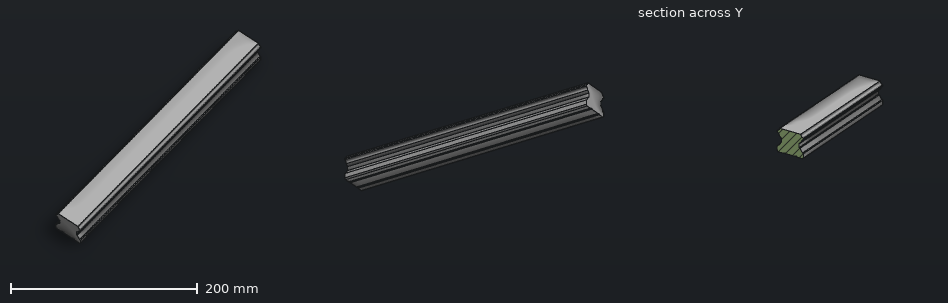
import cadquery as cq
import math

length = 310.0
width = 34.0
height = 29.0
half_width = width / 2

top_width = 27.3
lip_top = 25.0
lip_bottom = 23.5
lip_bevel_width = 1.0
lip_bevel_height = 0.5
track_sag = 0.37

upper_track_inner = (14.0, 28.2)
upper_track_outer = (half_width - lip_bevel_width, lip_top + lip_bevel_height)

lower_track_inner = (14.3, 19.8)
lower_track_outer = (half_width - lip_bevel_width, lip_bottom - lip_bevel_height)

waist_width = 23.2
waist_top = 17.5
waist_bottom = 12.7
waist_step_width = 1.0
waist_step_height = 0.5
half_waist = waist_width / 2

foot_top = 6.8
foot_ledge_width = 1.1
foot_ledge_height = 0.5
foot_chamfer = 1.5

relief_width = 17.0
relief_depth = 0.3
groove_width = 2.2
groove_depth = 0.78


def track_middle(inner, outer):
    """Midpoint of a ball track arc, sunk from its chord towards the middle of the rail."""
    across = outer[0] - inner[0]
    rise = outer[1] - inner[1]
    chord = math.hypot(across, rise)
    return (
        (inner[0] + outer[0]) / 2 - track_sag * abs(rise) / chord,
        (inner[1] + outer[1]) / 2 + track_sag * math.copysign(across, rise) / chord,
    )


def make_half_rail():
    """Extrude the right half of the rail section along Y, centred on Y = 0."""
    section = (
        cq.Workplane("XZ")
        .lineTo(half_width - foot_chamfer, 0)
        .lineTo(half_width, foot_chamfer)
        .lineTo(half_width, foot_top)
        .lineTo(half_width - foot_ledge_width, foot_top + foot_ledge_height)
        .lineTo(half_waist + waist_step_width, waist_bottom - waist_step_height)
        .lineTo(half_waist, waist_bottom)
        .lineTo(half_waist, waist_top)
        .lineTo(half_waist + waist_step_width, waist_top + waist_step_height)
        .lineTo(*lower_track_inner)
        .threePointArc(track_middle(lower_track_inner, lower_track_outer), lower_track_outer)
        .lineTo(half_width, lip_bottom)
        .lineTo(half_width, lip_top)
        .lineTo(*upper_track_outer)
        .threePointArc(track_middle(upper_track_inner, upper_track_outer), upper_track_inner)
        .lineTo(top_width / 2, height)
        .lineTo(0, height)
        .close()
    )
    return section.extrude(length / 2, both=True)


def make_bottom_relief():
    """Full-length shallow relief with a deeper groove just inside each of its edges."""
    groove_offset = (relief_width - groove_width) / 2
    relief = cq.Workplane("XY").rect(relief_width, length).extrude(relief_depth)
    grooves = (
        cq.Workplane("XY")
        .pushPoints([(-groove_offset, 0), (groove_offset, 0)])
        .rect(groove_width, length)
        .extrude(groove_depth)
    )
    return relief.union(grooves)


half_rail = make_half_rail()
rail = half_rail.union(half_rail.mirror("YZ"))
result = rail.cut(make_bottom_relief())